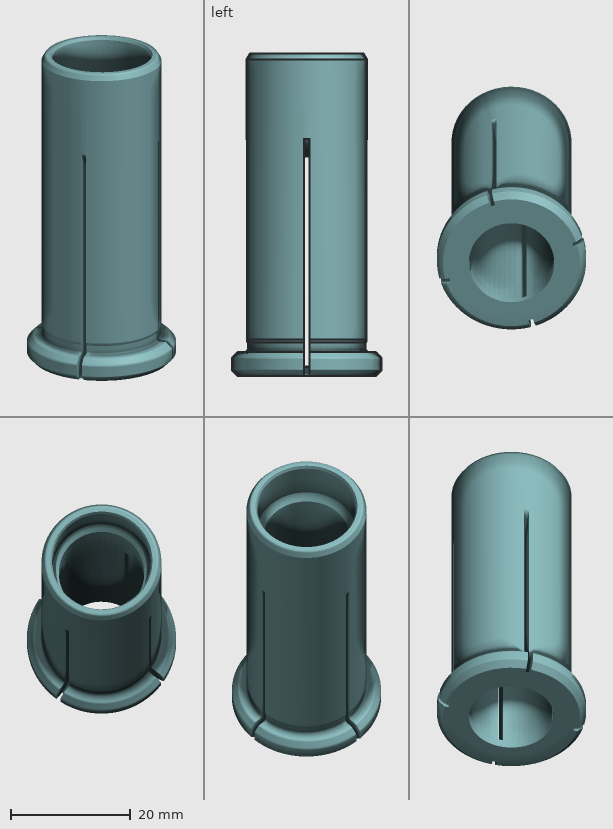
import cadquery as cq
import math

length = 54.0
sleeve_diameter = 20.1
top_chamfer_height = 1.0
top_chamfer_width = 0.6
rim_fillet = 0.45

bore_diameter = 14.3
counterbore_diameter = 16.5
counterbore_depth = 7.0
counterbore_chamfer_width = 0.25
counterbore_chamfer_height = 0.5
step_taper_height = (counterbore_diameter - bore_diameter) / 2

flange_diameter = 25.0
flange_height = 4.05
flange_chamfer = 1.0
flange_top_fillet = 0.5
flange_bottom_fillet = 0.2
relief_diameter = 19.7
relief_top = 6.1
relief_taper_height = 0.5
relief_fillet = 0.45

slot_width = 0.85
slot_count = 4
slot_top = 39.7
slot_inner_top = 36.7
slot_inner_bottom = 1.6
slot_floor_radius = 10.8
slot_overrun = 0.55

sleeve_radius = sleeve_diameter / 2
bore_radius = bore_diameter / 2
counterbore_radius = counterbore_diameter / 2
flange_radius = flange_diameter / 2
flange_flat_radius = flange_radius - flange_chamfer
rim_radius = sleeve_radius - top_chamfer_width
relief_radius = relief_diameter / 2


def make_body():
    """Revolve the half section of the flanged sleeve."""
    counterbore_floor = length - counterbore_depth
    fillet_sag = relief_fillet * (1 - math.sqrt(0.5))
    return (
        cq.Workplane("XZ")
        .moveTo(bore_radius, 0)
        .lineTo(flange_flat_radius, 0)
        .lineTo(flange_radius, flange_chamfer)
        .lineTo(flange_radius, flange_height - flange_chamfer)
        .lineTo(flange_flat_radius, flange_height)
        .lineTo(relief_radius + relief_fillet, flange_height)
        .threePointArc(
            (relief_radius + fillet_sag, flange_height + fillet_sag),
            (relief_radius, flange_height + relief_fillet),
        )
        .lineTo(relief_radius, relief_top - relief_taper_height)
        .lineTo(sleeve_radius, relief_top)
        .lineTo(sleeve_radius, length - top_chamfer_height)
        .lineTo(rim_radius, length)
        .lineTo(counterbore_radius + counterbore_chamfer_width, length)
        .lineTo(counterbore_radius, length - counterbore_chamfer_height)
        .lineTo(counterbore_radius, counterbore_floor)
        .lineTo(bore_radius, counterbore_floor - step_taper_height)
        .lineTo(bore_radius, 0)
        .close()
        .revolve(360, (0, 0, 0), (0, 1, 0))
    )


def round_edge(body, radius, height, fillet):
    """Fillet the circular edge at this radius and height."""
    tolerance = 0.005
    edges = body.edges("%CIRCLE").filter(
        lambda edge: abs(edge.radius() - radius) < tolerance and abs(edge.Center().z - height) < tolerance
    )
    return edges.fillet(fillet)


def make_slot(angle):
    """Slot on one side, with slanted ends running from the bore to the outside."""
    outside_radius = flange_radius + slot_overrun
    top_slope = (slot_top - slot_inner_top) / (sleeve_radius - bore_radius)
    outer_top = slot_inner_top + top_slope * (outside_radius - bore_radius)
    return (
        cq.Workplane("XZ")
        .polyline([
            (0, slot_inner_bottom),
            (bore_radius, slot_inner_bottom),
            (slot_floor_radius, 0),
            (outside_radius, 0),
            (outside_radius, outer_top),
            (bore_radius, slot_inner_top),
            (0, slot_inner_top),
        ])
        .close()
        .extrude(slot_width / 2, both=True)
        .rotate((0, 0, 0), (0, 0, 1), angle)
    )


result = make_body()
result = round_edge(result, rim_radius, length, rim_fillet)
result = round_edge(result, flange_flat_radius, flange_height, flange_top_fillet)
result = round_edge(result, flange_radius, flange_height - flange_chamfer, flange_top_fillet)
result = round_edge(result, flange_radius, flange_chamfer, flange_bottom_fillet)
for index in range(slot_count):
    result = result.cut(make_slot(index * 360 / slot_count))